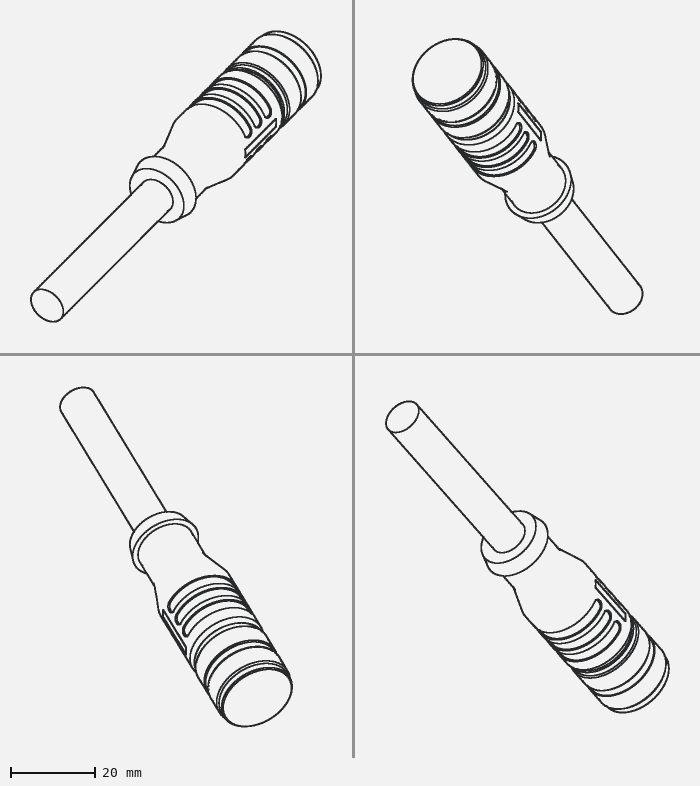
import cadquery as cq


nut_diameter = 19.0
nut_relief_diameter = 18.5
nut_rim_diameter = 18.2
nut_end_diameter = 17.6
neck_diameter = 12.6
grip_diameter = nut_diameter
sleeve_diameter = 14.2
collar_large_diameter = 17.0
collar_small_diameter = 15.1
cable_diameter = 9.05

end_chamfer = (nut_rim_diameter - nut_end_diameter) / 2
rear_ramp = 0.35
front_ramp = 0.5
front_band_start = 2.35
front_band_end = 7.7
rear_band_start = 10.05
rear_band_end = 15.3
nut_length = 17.3

grip_start = 18.7
grip_end = 38.3
taper_end = 46.7
collar_start = 56.3
collar_end = 60.3
overall_length = 110.3

groove_floor_diameter = 18.2
groove_width = 3.0
groove_pitch = 4.5
groove_count = 3
middle_groove_station = 28.15
groove_end_height = 3.1
groove_corner_radius = 1.3

recess_floor_diameter = 18.8
recess_start = 21.35
recess_end = 35.4
recess_height = 2.4


def turned_body():
    """Revolve the stepped half profile about the Y axis."""
    steps = [
        (nut_end_diameter, 0),
        (nut_rim_diameter, end_chamfer),
        (nut_rim_diameter, front_band_start - front_ramp),
        (nut_diameter, front_band_start),
        (nut_diameter, front_band_end),
        (nut_relief_diameter, front_band_end),
        (nut_relief_diameter, rear_band_start - rear_ramp),
        (nut_diameter, rear_band_start),
        (nut_diameter, rear_band_end),
        (nut_rim_diameter, rear_band_end + rear_ramp),
        (nut_rim_diameter, nut_length - end_chamfer),
        (nut_end_diameter, nut_length),
        (neck_diameter, nut_length),
        (neck_diameter, grip_start),
        (grip_diameter, grip_start),
        (grip_diameter, grip_end),
        (sleeve_diameter, taper_end),
        (sleeve_diameter, collar_start),
        (collar_large_diameter, collar_start),
        (collar_small_diameter, collar_end),
        (cable_diameter, collar_end),
        (cable_diameter, overall_length),
    ]
    outline = [(diameter / 2, -station) for diameter, station in steps]
    profile = cq.Workplane("XY").polyline([(0, 0)] + outline + [(0, -overall_length)]).close()
    return profile.revolve(360, (0, 0, 0), (0, 1, 0))


def grip_shell(floor_diameter):
    """Ring over the grip length, from the given floor diameter to well outside the grip."""
    outer_radius = grip_diameter
    shell = cq.Workplane("XZ", origin=(0, -grip_start, 0))
    return shell.circle(outer_radius).circle(floor_diameter / 2).extrude(grip_end - grip_start)


def finger_grooves():
    """Round-cornered grooves that wrap over the top and under the bottom of the grip."""
    cutter_height = grip_diameter
    cutter_centre_height = groove_end_height + cutter_height / 2
    cutter = cq.Workplane("XY").box(2 * grip_diameter, groove_width, cutter_height)
    cutter = cutter.edges("|X").fillet(groove_corner_radius)
    first_station = middle_groove_station - groove_pitch * (groove_count - 1) / 2
    cutters = cq.Workplane("XY")
    for index in range(groove_count):
        station = first_station + index * groove_pitch
        for side in (-1, 1):
            cutters = cutters.add(cutter.translate((0, -station, side * cutter_centre_height)))
    return cutters.combine().intersect(grip_shell(groove_floor_diameter))


def side_recesses():
    """Shallow rectangular recesses facing -X and +X."""
    length = recess_end - recess_start
    centre_station = (recess_start + recess_end) / 2
    bar = cq.Workplane("XY").box(2 * grip_diameter, length, recess_height)
    return bar.translate((0, -centre_station, 0)).intersect(grip_shell(recess_floor_diameter))


result = turned_body().cut(finger_grooves()).cut(side_recesses())